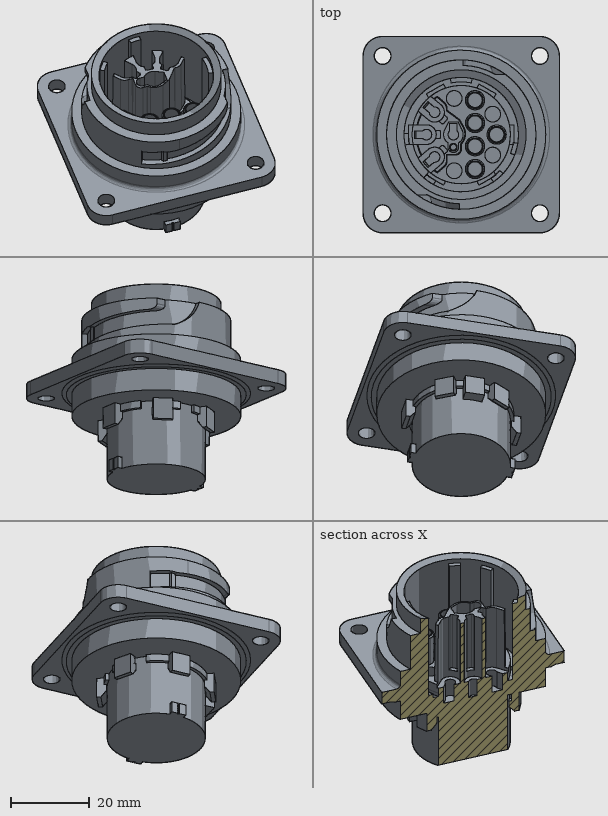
import cadquery as cq
import math

total_height = 46.9
shoulder_z = 42.3
collar_z = 31.9
ring_bottom_z = 27.7
flange_top_z = 26.7
flange_bottom_z = 23
body_bottom_z = 16.9
rim_ring_z = 15
clip_bottom_z = 11.4
shell_floor_z = 22.5
insert_face_z = 25
sleeve_top_z = 33.5
island_top_z = 42.5
key_top_z = 45

flange_side = 50
corner_radius = 5
mount_hole_diameter = 4.2
mount_hole_pitch = 40

nose_radius = 16.5
collar_radius = 19
body_radius = 21.5
bore_radius = 14.55
tube_radius = 12.5
lip_depth = 0.6
ring_foot = 1
seat_top_radius = 24
seat_bottom_radius = 22.9
seat_height = 0.4

slot_floor_radius = 17.6
slot_entry_x = -0.5
slot_entry_y = -15.35
slot_entry_fillet = 1.5
slot_end_y = 9.45
slot_end_low_z = 33.3
slot_end_high_z = 38.1
slot_entry_low_z = 35.6
slot_entry_high_z = 39.3
ramp_foot_x = -11
ramp_foot_z = 35
slot_step = 0.3
detent_radius = 17.8
detent_ramp = 0.5
detent_start_y = 2.9
detent_end_y = 4.5

key_radius = 13.4
key_spans = ((79, 101), (178.7, 190.5), (229, 241), (304.2, 317), (339.2, 351.3))
clip_angles = range(0, 360, 60)
clip_width = 5
clip_radius = 15
clip_tip_radius = 13.9
clip_stem_radius = 13.1
clip_slope_z = 13.2
notch_depth = 1
rear_key_radius = 15.15
rim_spans = ((279, 304), (-36, 216), (236, 261))
tab_radius = 13.6
tab_width = 3.9
tab_height = 3
tab_groove_width = 0.4
tab_groove_depth = 0.3

sleeve_diameter = 4.9
sleeve_bore = 3.7
sleeve_chamfer = 0.35
sleeve_points = ((3.5, 8.75), (3.5, 2.95), (3.5, -2.95), (3.5, -8.75), (9, 0))
socket_diameter = 4
socket_points = ((-1.8, 9.2), (-1.8, -9.2), (8, 5.2), (8, -5.2))
contact_depth = 5
island_radius = 11.5
island_draft = 0.6
pocket_floor_z = 24
pocket_angles = (140, 180, 220)
pocket_centre = 8.85
pocket_radius = 2.5
pocket_nub_end = 5.25
pocket_nub_width = 2.1
pocket_nub_fillet = 0.4
nub_floor_z = 26
keyhole_diameter = 2.7
keyhole_neck = 1.9
keyhole_end = 11.9
keyhole_slope = 0.45
centre_pocket_x = -2
centre_pocket_top = 3.15
centre_pocket_top_width = 2.5
centre_keyhole_end = 2.85
stud_y = -3.2
stud_well_width = 2.7
stud_hole_diameter = 1.95
stud_diameter = 1.55
overlap = 0.5


def disc(radius, bottom, top):
    return cq.Workplane("XY").workplane(offset=bottom).circle(radius).extrude(top - bottom)


def ring(inner, outer, bottom, top):
    return disc(outer, bottom, top).cut(disc(inner, bottom, top))


def block(x_span, y_span, z_span):
    size = [high - low for low, high in (x_span, y_span, z_span)]
    return cq.Workplane("XY").box(*size, centered=False).translate((x_span[0], y_span[0], z_span[0]))


def turned(shape, angle):
    return shape.rotate((0, 0, 0), (0, 0, 1), angle)


def ring_sector(inner, outer, bottom, top, start, end):
    profile = cq.Workplane("XZ").moveTo(inner, bottom).lineTo(outer, bottom).lineTo(outer, top)
    sector = profile.lineTo(inner, top).close().revolve(end - start, (0, 0, 0), (0, 1, 0))
    return turned(sector, start)


def shell():
    plate = cq.Workplane("XY").workplane(offset=flange_bottom_z).rect(flange_side, flange_side)
    plate = plate.extrude(flange_top_z - flange_bottom_z).edges("|Z").fillet(corner_radius)
    corners = cq.Workplane("XY").rect(mount_hole_pitch, mount_hole_pitch, forConstruction=True).vertices()
    plate = plate.cut(corners.circle(mount_hole_diameter / 2).extrude(total_height))
    seat_bottom_z = flange_bottom_z - seat_height
    turned_body = (
        cq.Workplane("XZ")
        .moveTo(0, body_bottom_z)
        .lineTo(body_radius, body_bottom_z)
        .lineTo(body_radius, seat_bottom_z)
        .lineTo(seat_bottom_radius, seat_bottom_z)
        .lineTo(seat_top_radius, flange_bottom_z)
        .lineTo(body_radius + ring_foot, flange_bottom_z)
        .lineTo(body_radius + ring_foot, flange_top_z)
        .radiusArc((body_radius, ring_bottom_z), ring_foot)
        .lineTo(body_radius, collar_z)
        .lineTo(collar_radius, collar_z)
        .lineTo(collar_radius, shoulder_z)
        .lineTo(nose_radius, shoulder_z)
        .lineTo(nose_radius, total_height)
        .lineTo(bore_radius, total_height - lip_depth)
        .lineTo(bore_radius, shell_floor_z)
        .lineTo(0, shell_floor_z)
        .close()
        .revolve(360, (0, 0, 0), (0, 1, 0))
    )
    return plate.cut(disc(body_radius, flange_bottom_z, flange_top_z)).union(turned_body)


def bayonet_slot():
    reach = collar_radius + overlap
    top = shoulder_z + overlap
    side = (
        cq.Workplane("YZ")
        .moveTo(slot_end_y, slot_end_low_z)
        .lineTo(slot_end_y, slot_end_high_z)
        .lineTo(detent_end_y, slot_end_high_z + slot_step)
        .lineTo(detent_start_y, slot_end_high_z)
        .lineTo(slot_entry_y + slot_entry_fillet, slot_entry_high_z)
        .radiusArc((slot_entry_y, slot_entry_high_z + slot_entry_fillet), slot_entry_fillet)
        .lineTo(slot_entry_y, top)
        .lineTo(-reach, top)
        .lineTo(-reach, slot_entry_low_z)
        .close()
        .extrude(-reach)
    )
    front = (
        cq.Workplane("XZ")
        .moveTo(slot_entry_x, top)
        .lineTo(slot_entry_x, shoulder_z)
        .threePointArc((-4.2, 37.1), (ramp_foot_x, ramp_foot_z))
        .lineTo(ramp_foot_x, collar_z)
        .lineTo(-reach, collar_z)
        .lineTo(-reach, top)
        .close()
        .extrude(reach, both=True)
    )
    detent = (
        cq.Workplane("XY")
        .workplane(offset=collar_z)
        .moveTo(-nose_radius, detent_start_y)
        .lineTo(-detent_radius, detent_start_y)
        .lineTo(-detent_radius, detent_end_y - detent_ramp)
        .lineTo(-nose_radius, detent_end_y)
        .close()
        .extrude(shoulder_z - collar_z)
    )
    beyond_end = block((-reach, 0), (0, reach), (collar_z, top))
    beyond_end = turned(beyond_end, -math.degrees(math.asin(slot_end_y / collar_radius)))
    track = ring(slot_floor_radius, reach, collar_z, top).intersect(side).intersect(front)
    return track.cut(detent).cut(beyond_end)


def clip():
    return (
        cq.Workplane("XZ")
        .moveTo(clip_stem_radius, body_bottom_z)
        .lineTo(clip_radius, body_bottom_z)
        .lineTo(clip_radius, clip_bottom_z)
        .lineTo(clip_tip_radius, clip_bottom_z)
        .lineTo(tube_radius, clip_slope_z)
        .lineTo(tube_radius, rim_ring_z)
        .lineTo(clip_stem_radius, rim_ring_z)
        .close()
        .extrude(clip_width / 2, both=True)
    )


def clip_notch():
    half = clip_width / 2
    heights = (shell_floor_z - notch_depth, shell_floor_z)
    notch = block((tube_radius - overlap, key_radius), (-half, half), heights)
    return notch.cut(disc(tube_radius, *heights))


def rear_tab():
    half = tab_width / 2
    tab = block((tube_radius - overlap, tab_radius), (-half, half), (0, tab_height))
    half = tab_groove_width / 2
    return tab.cut(block((tab_radius - tab_groove_depth, tab_radius), (-half, half), (0, tab_height)))


def sleeve(x, y):
    tube = disc(sleeve_diameter / 2, insert_face_z - overlap, sleeve_top_z)
    tube = tube.faces(">Z").edges().chamfer(sleeve_chamfer)
    return tube.translate((x, y, 0))


def island():
    outline = (
        cq.Workplane("XY")
        .workplane(offset=insert_face_z - overlap)
        .moveTo(-6.1, 9.75)
        .lineTo(-4.3, 8.2)
        .threePointArc((-3.7, 7.3), (-3.6, 6.2))
        .lineTo(-0.4, 3.8)
        .lineTo(0.8, 1.65)
        .threePointArc((1.1, 0), (0.55, -1.75))
        .lineTo(0.05, -2.4)
        .lineTo(0.05, -3.5)
        .threePointArc((-0.4, -4.75), (-1.45, -5.2))
        .lineTo(-3.6, -5.2)
        .lineTo(-3.6, -6.2)
        .threePointArc((-3.7, -7.3), (-4.3, -8.2))
        .lineTo(-6.1, -9.75)
        .threePointArc((-island_radius, 0), (-6.1, 9.75))
        .close()
    )
    return outline.extrude(island_top_z - insert_face_z + overlap, taper=island_draft)


def keyhole(neck_length, end_slope):
    bottom = pocket_floor_z - contact_depth
    half = keyhole_neck / 2
    slot = (
        cq.Workplane("XZ")
        .moveTo(0, pocket_floor_z)
        .lineTo(neck_length, pocket_floor_z)
        .lineTo(neck_length - end_slope, bottom)
        .lineTo(0, bottom)
        .close()
        .extrude(half, both=True)
    )
    return disc(keyhole_diameter / 2, bottom, pocket_floor_z).union(slot)


def edge_pocket():
    half = pocket_nub_width / 2
    heights = (pocket_floor_z, island_top_z)
    outer_end = tube_radius + overlap
    pocket = disc(pocket_radius, *heights).translate((pocket_centre, 0, 0))
    pocket = pocket.union(block((pocket_centre, outer_end), (-pocket_radius, pocket_radius), heights))
    nub = block((pocket_nub_end, pocket_centre), (-half, half), (nub_floor_z, island_top_z))
    pocket = pocket.union(nub.edges("|Z and <X").fillet(pocket_nub_fillet))
    socket = keyhole(keyhole_end - pocket_centre, keyhole_slope)
    return pocket.union(socket.translate((pocket_centre, 0, 0)))


def centre_pocket():
    depth = island_top_z - pocket_floor_z
    half_top = centre_pocket_top_width / 2
    corner_distance = math.hypot(half_top, centre_pocket_top)
    touch = math.atan2(centre_pocket_top, half_top) - math.acos(pocket_radius / corner_distance)
    touch_x = pocket_radius * math.cos(touch)
    touch_y = pocket_radius * math.sin(touch)
    drop = (
        cq.Workplane("XY")
        .workplane(offset=pocket_floor_z)
        .moveTo(-half_top, centre_pocket_top)
        .lineTo(half_top, centre_pocket_top)
        .lineTo(touch_x, touch_y)
        .threePointArc((0, -pocket_radius), (-touch_x, touch_y))
        .close()
        .extrude(depth)
    )
    half = stud_well_width / 2
    well = block((-half, half), (stud_y, 0), (pocket_floor_z, island_top_z))
    well = well.union(disc(half, pocket_floor_z, island_top_z).translate((0, stud_y, 0)))
    bottom = pocket_floor_z - contact_depth
    stud_gap = ring(stud_diameter / 2, stud_hole_diameter / 2, bottom, pocket_floor_z)
    pocket = drop.union(well).union(stud_gap.translate((0, stud_y, 0)))
    pocket = pocket.union(turned(keyhole(centre_keyhole_end, 0), 90))
    return pocket.translate((centre_pocket_x, 0, 0))


part = shell()
for angle in (0, 180):
    part = part.cut(turned(bayonet_slot(), angle))
for start, end in key_spans:
    part = part.union(
        ring_sector(key_radius, bore_radius + overlap, shell_floor_z - overlap, key_top_z, start, end)
    )

part = part.union(disc(tube_radius, 0, insert_face_z))
for start, end in rim_spans:
    part = part.union(
        ring_sector(tube_radius - overlap, key_radius, rim_ring_z, body_bottom_z, start, end)
    )
for angle in clip_angles:
    part = part.union(turned(clip(), angle))
    part = part.cut(turned(clip_notch(), angle))
half_clip = clip_width / 2
rear_key_y = (tube_radius - overlap, rear_key_radius)
part = part.union(block((-half_clip, half_clip), rear_key_y, (clip_bottom_z, body_bottom_z)))
for angle in (0, 180):
    part = part.union(turned(rear_tab(), angle))

part = part.union(island())
for angle in pocket_angles:
    part = part.cut(turned(edge_pocket(), angle))
part = part.cut(centre_pocket())
for x, y in sleeve_points:
    part = part.union(sleeve(x, y))
    part = part.cut(disc(sleeve_bore / 2, insert_face_z - contact_depth, sleeve_top_z).translate((x, y, 0)))
for x, y in socket_points:
    socket = disc(socket_diameter / 2, insert_face_z - contact_depth, insert_face_z)
    part = part.cut(socket.translate((x, y, 0)))

result = part